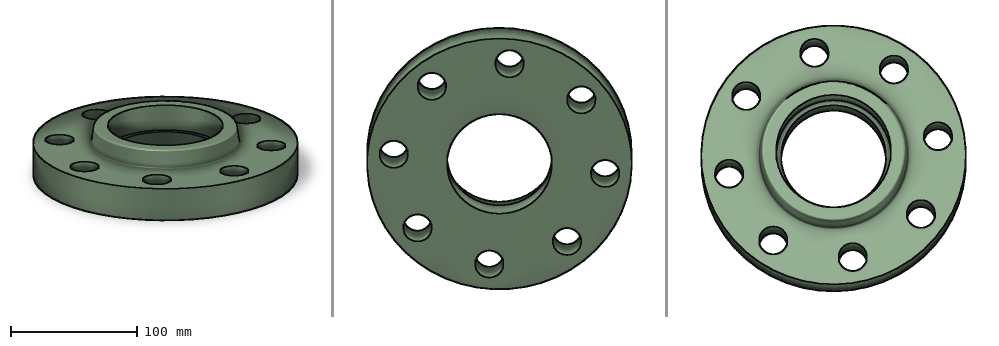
import cadquery as cq

flange_diameter = 209.5
flange_thickness = 26.8
total_height = 41.5

hub_base_diameter = 117.7
hub_top_diameter = 113.1
hub_foot_fillet = 1.3
hub_rim_fillet = 1.7

selection_margin = 1.0

bore_diameter = 83.0
socket_diameter = 91.0
socket_depth = 21.0

bolt_count = 8
bolt_hole_diameter = 22.5
bolt_circle_diameter = 168.0


def make_flange():
    """Flat round disc standing on the XY plane."""
    return cq.Workplane("XY").circle(flange_diameter / 2).extrude(flange_thickness)


def make_hub():
    """Cone frustum from the bottom of the taper up to the rounded rim."""
    hub_height = total_height - flange_thickness
    return (
        cq.Workplane("XY")
        .workplane(offset=flange_thickness)
        .circle(hub_base_diameter / 2)
        .workplane(offset=hub_height)
        .circle(hub_top_diameter / 2)
        .loft(ruled=True)
    )


def round_hub(body):
    """Round the hub's top rim and blend its foot into the flange."""
    body = body.faces(">Z").edges().fillet(hub_rim_fillet)
    reach = hub_base_diameter / 2 + selection_margin
    foot_edge = cq.selectors.BoxSelector(
        (-reach, -reach, flange_thickness - selection_margin),
        (reach, reach, flange_thickness + selection_margin),
        boundingbox=True,
    )
    return body.edges(foot_edge).fillet(hub_foot_fillet)


def cut_bore(body):
    """Through bore with the wider socket sunk from the hub top."""
    hub_top = body.faces(">Z").workplane(origin=(0, 0, 0))
    return hub_top.cboreHole(bore_diameter, socket_diameter, socket_depth)


def cut_bolt_holes(body):
    """Even ring of through holes, the first one on the X axis."""
    return (
        body.faces("<Z")
        .workplane(origin=(0, 0, 0))
        .polarArray(bolt_circle_diameter / 2, 0, 360, bolt_count)
        .hole(bolt_hole_diameter)
    )


result = cut_bolt_holes(cut_bore(round_hub(make_flange().union(make_hub()))))